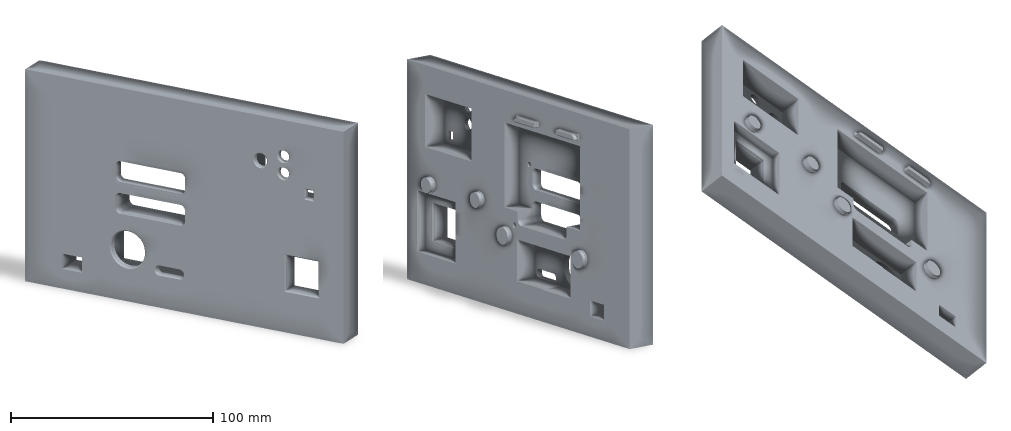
import cadquery as cq
import math

width, depth, height = 180.0, 14.5, 112.0

connector_x, connector_size, connector_corner = -19.3, (39.2, 11.0), 2.7
upper_connector_z, lower_connector_z = 67.7, 51.0
recess_margin, recess_depth = 1.0, 0.2
jack_center, jack_diameter = (-32.0, 27.4), 19.0
slot_center, slot_size = (-8.5, 19.6), (15.7, 4.3)
window_center, window_size = (-63.5, 14.4), (11.3, 8.1)
button_center, button_size = (66.5, 31.3), (18.4, 18.7)
sensor_center, sensor_size = (70.5, 75.0), (4.3, 4.9)
large_lamp_center, large_lamp_diameter = (43.0, 88.2), 7.0
small_lamp_x, small_lamp_diameter = 56.0, 6.0
small_lamp_heights = (92.7, 83.7)
opening_bevel = 0.5

connector_wall, jack_wall, lamp_wall, button_wall = 5.4, 3.6, 2.7, 9.7
connector_pocket_center, connector_pocket_size = (connector_x, 73.8), (61.2, 43.2)
lower_connector_relief = 0.2
jack_pocket_center, jack_pocket_size = (-31.0, 27.0), (22.7, 21.6)
slot_pocket_center, slot_pocket_size = (-9.2, 27.2), (20.9, 21.2)
lamp_pocket_center, lamp_pocket_size = (56.7, 83.7), (37.8, 27.0)
button_pocket_margin = 6.3
button_relief, button_relief_start = 0.4, 8.5

screw_diameter, screw_x, screw_skin = 2.7, 3.0, 0.4
screw_heights = (74.2, 44.6)

foot_height, foot_margin = 1.0, 0.2
tall_post_diameter, tall_post_height = 7.7, 3.2
tall_post_centers = [(31.1, 52.4), (70.7, 52.0)]
short_post_diameter, short_post_height = 8.8, 2.9
short_post_centers = [(-51.5, 38.3), (9.5, 38.3)]
rib_thickness, rib_height, rib_z, rib_corner = 2.2, 3.0, 99.9, 3.5
left_rib_outer, left_rib_inner = -49.3, -34.2
right_rib_inner, right_rib_outer = -16.7, 0.2


def rectangle(size, corner=0.0):
    """Function giving the rectangle outline grown outward by a margin."""

    def outline(margin=0.0):
        sketch = cq.Sketch().rect(size[0] + 2 * margin, size[1] + 2 * margin)
        return sketch.vertices().fillet(corner + margin) if corner else sketch

    return outline


def stadium(size):
    """Function giving the round-ended slot outline grown outward by a margin."""
    return lambda margin=0.0: cq.Sketch().slot(size[0] - size[1], size[1] + 2 * margin)


def disc(diameter):
    """Function giving the circle outline grown outward by a margin."""
    return lambda margin=0.0: cq.Sketch().circle(diameter / 2 + margin)


def prism(outline, center, start, end, margin=0.0):
    """Straight body of an outline between two depths along Y."""
    plane = cq.Workplane("XZ", origin=(center[0], start, center[1]))
    return plane.placeSketch(outline(margin)).extrude(start - end)


def opening(outline, center, bevel=0.0):
    """Cutter through the panel, bevelled at the front face."""
    cutter = prism(outline, center, 0, depth)
    if not bevel:
        return cutter
    behind = cq.Location(cq.Vector(0, 0, -bevel))
    plane = cq.Workplane("XZ", origin=(center[0], 0, center[1]))
    return cutter.union(plane.placeSketch(outline(bevel), outline().moved(behind)).loft())


def raised(outline, center, rise):
    """Boss on the back face, with its wider foot."""
    foot = prism(outline, center, depth, depth + foot_height, foot_margin)
    return prism(outline, center, depth, depth + rise).union(foot)


def rib(inner_x, outer_x):
    """Rib along X on the back face, with its outer upper corner rounded."""
    length = abs(outer_x - inner_x)
    top, bottom = rib_thickness / 2, -rib_thickness / 2
    toward_inner = math.copysign(1, inner_x - outer_x)
    arc_rise = rib_corner - rib_thickness
    lower_inset = rib_corner - math.sqrt(rib_corner**2 - arc_rise**2)
    bar = (
        cq.Workplane("XZ", origin=(outer_x, depth, rib_z))
        .moveTo(toward_inner * length, bottom)
        .lineTo(toward_inner * length, top)
        .lineTo(toward_inner * rib_corner, top)
        .radiusArc((toward_inner * lower_inset, bottom), -toward_inner * rib_corner)
        .close()
        .extrude(-rib_height)
    )
    foot_center = ((inner_x + outer_x) / 2, rib_z)
    foot_outline = rectangle((length, rib_thickness))
    return bar.union(prism(foot_outline, foot_center, depth, depth + foot_height, foot_margin))


panel = prism(rectangle((width, height)), (0, height / 2), 0, depth)

connector = rectangle(connector_size, connector_corner)
upper_connector_center = (connector_x, upper_connector_z)
lower_connector_center = (connector_x, lower_connector_z)
panel = panel.cut(opening(connector, upper_connector_center))
panel = panel.cut(prism(connector, upper_connector_center, 0, recess_depth, recess_margin))
panel = panel.cut(opening(connector, lower_connector_center))
panel = panel.cut(opening(disc(jack_diameter), jack_center, opening_bevel))
panel = panel.cut(opening(stadium(slot_size), slot_center, opening_bevel))
panel = panel.cut(opening(rectangle(window_size), window_center))
panel = panel.cut(opening(rectangle(button_size), button_center, opening_bevel))
panel = panel.cut(opening(rectangle(sensor_size), sensor_center, opening_bevel))
panel = panel.cut(opening(disc(large_lamp_diameter), large_lamp_center, opening_bevel))
for lamp_z in small_lamp_heights:
    panel = panel.cut(opening(disc(small_lamp_diameter), (small_lamp_x, lamp_z), opening_bevel))

panel = panel.cut(prism(rectangle(connector_pocket_size), connector_pocket_center, connector_wall, depth))
panel = panel.cut(prism(connector, lower_connector_center, connector_wall, depth, lower_connector_relief))
panel = panel.cut(prism(rectangle(jack_pocket_size), jack_pocket_center, jack_wall, depth))
panel = panel.cut(prism(rectangle(slot_pocket_size), slot_pocket_center, jack_wall, depth))
panel = panel.cut(prism(rectangle(lamp_pocket_size), lamp_pocket_center, lamp_wall, depth))
button = rectangle(button_size)
panel = panel.cut(prism(button, button_center, button_relief_start, depth, button_relief))
panel = panel.cut(prism(button, button_center, button_wall, depth, button_pocket_margin))

for screw_z in screw_heights:
    panel = panel.cut(prism(disc(screw_diameter), (screw_x, screw_z), screw_skin, depth))

for center in tall_post_centers:
    panel = panel.union(raised(disc(tall_post_diameter), center, tall_post_height))
for center in short_post_centers:
    panel = panel.union(raised(disc(short_post_diameter), center, short_post_height))
panel = panel.union(rib(left_rib_inner, left_rib_outer))
panel = panel.union(rib(right_rib_inner, right_rib_outer))

result = panel